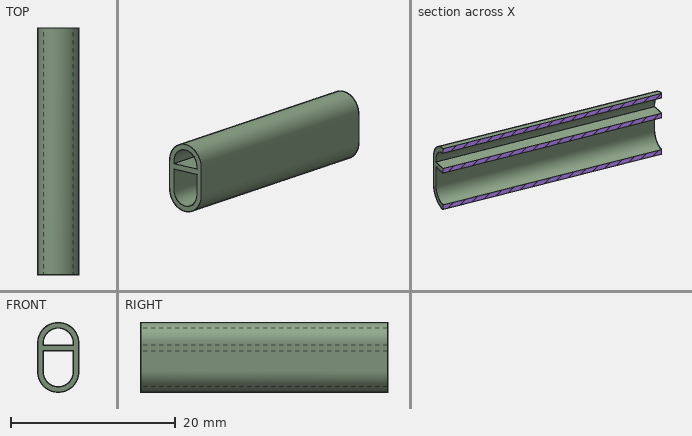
import cadquery as cq

length = 30.0
width = 5.0
height = 8.5
wall = 0.7
web_thickness = 0.7
web_center_z = 1.15


def obround_bar(bar_width, bar_height):
    """Solid bar along Y with full-round top and bottom, centered on the origin."""
    bar = cq.Workplane("XZ").slot2D(bar_height, bar_width, angle=90)
    return bar.extrude(length / 2, both=True)


outer = obround_bar(width, height)
bore = obround_bar(width - 2 * wall, height - 2 * wall)

web = cq.Workplane("XY").box(width, length, web_thickness).translate((0, 0, web_center_z))
channels = bore.cut(web)

result = outer.cut(channels)